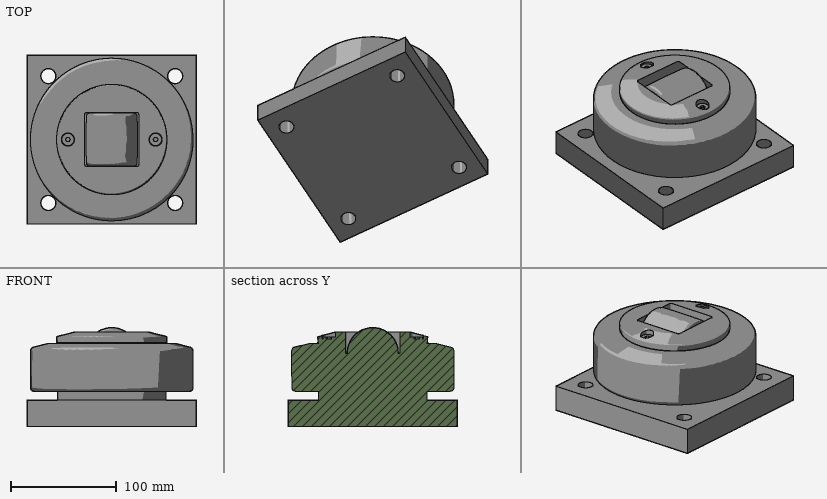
import cadquery as cq
import math

plate_side = 160.0
plate_thickness = 25.0
mount_hole_diameter = 14.0
mount_hole_pitch = 120.0

neck_radius = 103.0 / 2

ring_radius = 154.0 / 2
ring_bottom = 33.2
ring_top = 78.8
ring_crown_radius = 120.0 / 2
ring_shoulder_z = 74.6
ring_top_fillet = 4.0
ring_bottom_fillet = 3.7

cap_radius = 104.5 / 2
cap_bottom = ring_top
cap_top = 89.7
cap_flat_radius = 70.0 / 2
cap_shoulder_z = 85.2
cap_top_fillet = 1.5
cap_bottom_chamfer = 0.75

roller_radius = 24.3
roller_crown = 0.3
roller_length = 50.0
roller_edge_fillet = 3.0
part_height = 93.8
roller_axis_z = part_height - roller_radius
pocket_side = 51.2
pocket_corner_radius = 2.0
pocket_floor_z = roller_axis_z

screw_offset = 41.5
screw_recess_diameter = 12.4
screw_head_diameter = 11.7
screw_head_z = 85.0
hex_socket_across_flats = 4.0
hex_socket_depth = 2.0


def make_plate():
    """Square base plate with four through holes."""
    return (
        cq.Workplane("XY")
        .rect(plate_side, plate_side)
        .extrude(plate_thickness)
        .faces(">Z")
        .workplane()
        .rect(mount_hole_pitch, mount_hole_pitch, forConstruction=True)
        .vertices()
        .hole(mount_hole_diameter)
    )


def revolve_profile(points):
    """Solid of revolution about Z from (radius, z) points."""
    return cq.Workplane("XZ").polyline(points).close().revolve(360, (0, 0), (0, 1))


def rim_edge_at(z):
    """Selector for the circular edge whose centre lies on the Z axis at height z."""
    reach = 0.1
    return cq.selectors.BoxSelector((-reach, -reach, z - reach), (reach, reach, z + reach))


def make_ring():
    """Outer ring with a conical shoulder and rounded rims."""
    ring = revolve_profile([
        (0, ring_bottom),
        (ring_radius, ring_bottom),
        (ring_radius, ring_shoulder_z),
        (ring_crown_radius, ring_top),
        (0, ring_top),
    ])
    ring = ring.edges(rim_edge_at(ring_shoulder_z)).fillet(ring_top_fillet)
    return ring.edges("<Z").fillet(ring_bottom_fillet)


def make_cap():
    """Cap disc with a conical rim, rounded above and chamfered below."""
    cap = revolve_profile([
        (0, cap_bottom),
        (cap_radius, cap_bottom),
        (cap_radius, cap_shoulder_z),
        (cap_flat_radius, cap_top),
        (0, cap_top),
    ])
    cap = cap.edges(rim_edge_at(cap_shoulder_z)).fillet(cap_top_fillet)
    return cap.edges("<Z").chamfer(cap_bottom_chamfer)


def make_cylinder(radius, bottom, top):
    """Upright cylinder between two heights."""
    return cq.Workplane("XY").workplane(offset=bottom).circle(radius).extrude(top - bottom)


def make_pocket():
    """Square cutter for the roller pocket."""
    return (
        cq.Workplane("XY")
        .workplane(offset=pocket_floor_z)
        .rect(pocket_side, pocket_side)
        .extrude(part_height - pocket_floor_z)
        .edges("|Z")
        .fillet(pocket_corner_radius)
    )


def make_roller():
    """Barrel-shaped roller along Y with rounded end rims."""
    half_length = roller_length / 2
    rim_radius = roller_radius - roller_crown
    return (
        cq.Workplane("XY")
        .moveTo(0, -half_length)
        .lineTo(rim_radius, -half_length)
        .threePointArc((roller_radius, 0), (rim_radius, half_length))
        .lineTo(0, half_length)
        .close()
        .revolve(360, (0, 0), (0, 1))
        .edges("%CIRCLE and (<Y or >Y)")
        .fillet(roller_edge_fillet)
        .translate((0, 0, roller_axis_z))
    )


def make_screw_recess(x):
    """Cutter for one sunk screw: recess, narrow gap round the head and hex socket."""
    floor_z = screw_head_z - hex_socket_depth
    recess = make_cylinder(screw_recess_diameter / 2, floor_z, cap_top)
    head = make_cylinder(screw_head_diameter / 2, floor_z, screw_head_z)
    socket = (
        cq.Workplane("XY")
        .workplane(offset=floor_z)
        .polygon(6, hex_socket_across_flats / math.cos(math.pi / 6))
        .extrude(hex_socket_depth)
    )
    return recess.cut(head).union(socket).translate((x, 0, 0))


result = make_plate()
result = result.union(make_cylinder(neck_radius, plate_thickness, ring_bottom))
result = result.union(make_ring())
result = result.union(make_cap())
result = result.cut(make_pocket())
result = result.union(make_roller())
for screw_x in (-screw_offset, screw_offset):
    result = result.cut(make_screw_recess(screw_x))